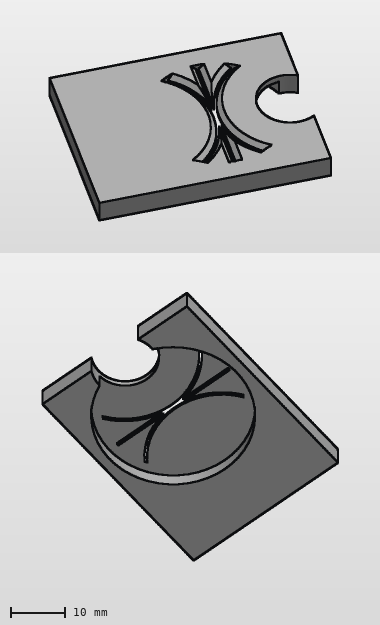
import cadquery as cq

width = 34.0
length = 44.0
thickness = 4.5
center_x = width / 2

notch_radius = 6.25
notch_y = length - 3.05

pattern_y = length - 17.05
trim_radius = 13.05
arc_radius = 14.0
arc_offset = 14.25
slit_width = 0.5
groove_width = 2.55
groove_depth = (groove_width - slit_width) / 2

recess_radius = 15.0
web_thickness = 1.5
recess_depth = thickness - web_thickness


def at_pattern(shape):
    return shape.translate((center_x, pattern_y, 0))


def groove_section(plane):
    """Slit with a V-shaped opening at the top, centered on local x = 0."""
    half_slit = slit_width / 2
    half_groove = groove_width / 2
    shoulder = thickness - groove_depth
    return cq.Workplane(plane).polyline([
        (-half_slit, 0),
        (half_slit, 0),
        (half_slit, shoulder),
        (half_groove, thickness),
        (-half_groove, thickness),
        (-half_slit, shoulder),
    ]).close()


def straight_groove():
    plane = cq.Plane(origin=(-trim_radius, 0, 0), xDir=(0, 1, 0), normal=(1, 0, 0))
    return groove_section(plane).extrude(2 * trim_radius)


def curved_groove(side):
    """Ring-shaped groove around an arc center on the +Y or -Y side."""
    plane = cq.Plane(origin=(arc_radius, side * arc_offset, 0), xDir=(1, 0, 0), normal=(0, -1, 0))
    return groove_section(plane).revolve(360, (-arc_radius, 0), (-arc_radius, 1))


plate = cq.Workplane("XY").box(width, length, thickness, centered=False)
notch = cq.Workplane("XY").center(center_x, notch_y).circle(notch_radius).extrude(thickness)
trim = cq.Workplane("XY").circle(trim_radius).extrude(thickness)
recess = cq.Workplane("XY").circle(recess_radius).extrude(recess_depth)

result = plate.cut(notch).cut(at_pattern(recess))
for groove in (straight_groove(), curved_groove(1), curved_groove(-1)):
    result = result.cut(at_pattern(groove.intersect(trim)))